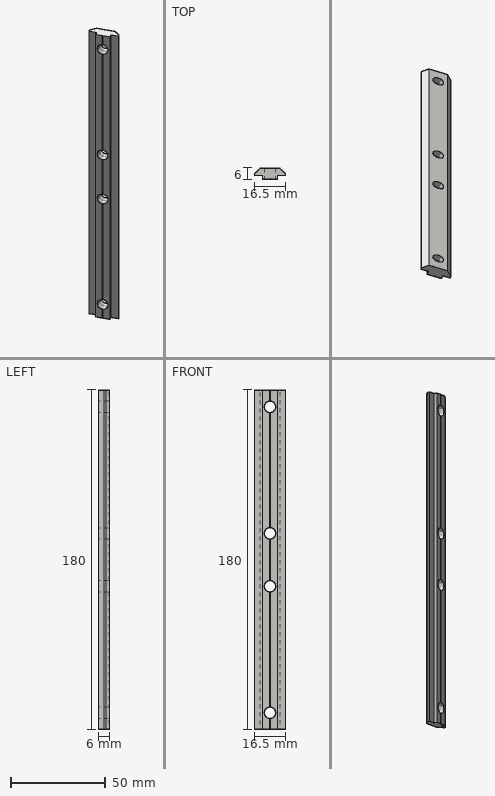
import cadquery as cq

length = 180.0
width = 16.5
thickness = 6.0

back_width = 10.5
tongue_width = 8.1
tongue_height = 2.0
edge_height = 1.0

groove_width = 0.5
groove_depth = groove_width / 2

hole_diameter = 6.0
hole_offsets = (14.0, 81.2)

front_y = -thickness / 2
back_y = thickness / 2
flange_y = front_y + tongue_height


def make_rail():
    """Extrude the T-shaped section with bevelled back corners along Z."""
    half_section = [
        (0, front_y + groove_depth),
        (groove_width / 2, front_y),
        (tongue_width / 2, front_y),
        (tongue_width / 2, flange_y),
        (width / 2, flange_y),
        (width / 2, flange_y + edge_height),
        (back_width / 2, back_y),
        (0, back_y),
    ]
    half_rail = cq.Workplane("XY").polyline(half_section).close().extrude(length / 2, both=True)
    return half_rail.union(half_rail.mirror("YZ")).clean()


def make_holes():
    """Round cutters running right through the thickness."""
    centres = [(0, side * offset) for offset in hole_offsets for side in (-1, 1)]
    return (
        cq.Workplane("XZ")
        .pushPoints(centres)
        .circle(hole_diameter / 2)
        .extrude(thickness, both=True)
    )


result = make_rail().cut(make_holes())